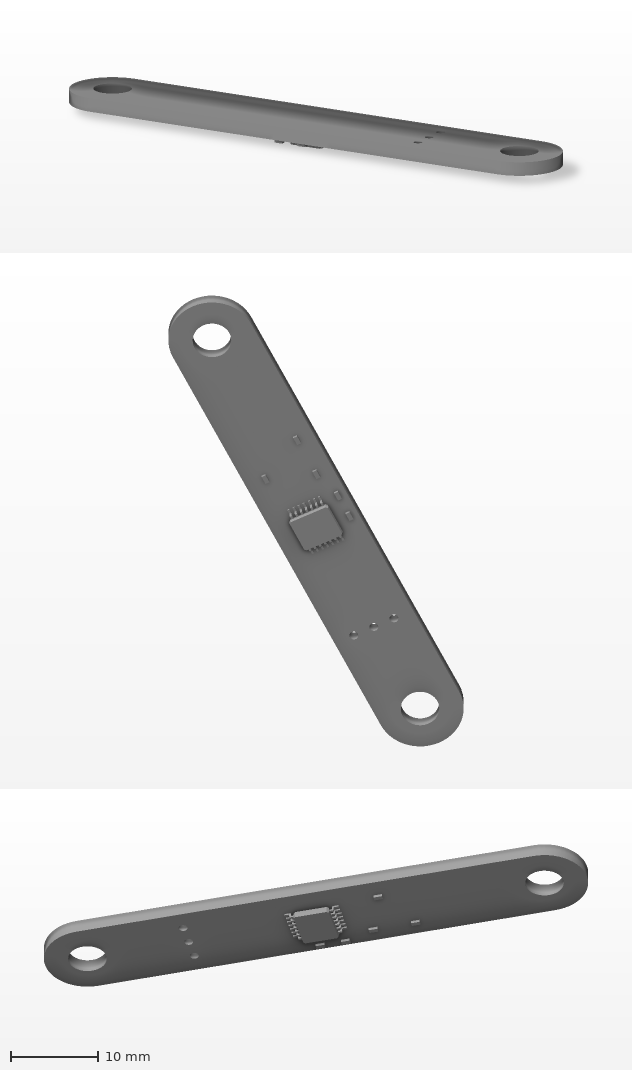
import cadquery as cq

BOARD_LENGTH = 64.0
BOARD_WIDTH = 10.0
BOARD_THICKNESS = 1.6
END_RADIUS = BOARD_WIDTH / 2
MOUNT_SPACING = BOARD_LENGTH - 2 * END_RADIUS
MOUNT_DIAMETER = 4.4
WIRE_HOLE_DIAMETER = 1.0
WIRE_HOLE_X = 15.05
WIRE_HOLE_PITCH = 2.55
WIRE_HOLE_COUNT = 3

CHIP_DEPTH = 1.0
CHIP_STANDOFF = 0.25
CHIP_WIDTH = 4.3
CHIP_LENGTH = 5.0
CHIP_CORNER_CHAMFER = 0.25
CHIP_DRAFT_ANGLE = 12.0
CHIP_HALF_HEIGHT = (CHIP_DEPTH - CHIP_STANDOFF) / 2
PARTING_Z = -CHIP_STANDOFF - CHIP_HALF_HEIGHT

LEADS_PER_SIDE = 7
LEAD_ROW_LENGTH = 3.9
LEAD_PITCH = LEAD_ROW_LENGTH / (LEADS_PER_SIDE - 1)
LEAD_WIDTH = 0.25
LEAD_THICKNESS = 0.2
LEAD_SPAN = 6.4
LEAD_FOOT_LENGTH = 0.8
LEAD_ROOT = 0.3
LEAD_BEND_RADIUS = 0.1

PASSIVE_LENGTH = 1.0
PASSIVE_WIDTH = 0.5
PASSIVE_HEIGHT = 0.3
RAISED_PASSIVE_GAP = 0.2
PASSIVE_PLACES = [
    (-11.0, -3.0, 0.0),
    (-8.0, 2.5, 0.0),
    (-6.0, -3.0, 0.0),
    (-2.5, -4.0, RAISED_PASSIVE_GAP),
    (0.5, -4.0, RAISED_PASSIVE_GAP),
]


def centred_steps(count, pitch):
    """Evenly spaced positions centred on zero."""
    return [(i - (count - 1) / 2) * pitch for i in range(count)]


def make_board():
    mounts = [(x, 0) for x in centred_steps(2, MOUNT_SPACING)]
    wire_holes = [(WIRE_HOLE_X, y) for y in centred_steps(WIRE_HOLE_COUNT, WIRE_HOLE_PITCH)]
    plate = cq.Workplane("XY").slot2D(BOARD_LENGTH, BOARD_WIDTH).extrude(BOARD_THICKNESS)
    mount_cutter = cq.Workplane("XY").pushPoints(mounts).circle(MOUNT_DIAMETER / 2)
    wire_cutter = cq.Workplane("XY").pushPoints(wire_holes).circle(WIRE_HOLE_DIAMETER / 2)
    return plate.cut(mount_cutter.extrude(BOARD_THICKNESS)).cut(wire_cutter.extrude(BOARD_THICKNESS))


def make_chip_body():
    """Moulded block that tapers up and down from its parting plane."""
    outline = cq.Sketch().rect(CHIP_WIDTH, CHIP_LENGTH).vertices().chamfer(CHIP_CORNER_CHAMFER)
    parting = cq.Workplane("XY").workplane(offset=PARTING_Z).placeSketch(outline)
    upper = parting.extrude(CHIP_HALF_HEIGHT, taper=CHIP_DRAFT_ANGLE)
    lower = parting.extrude(-CHIP_HALF_HEIGHT, taper=CHIP_DRAFT_ANGLE)
    return upper.union(lower)


def make_lead(y):
    """One lead on the +X side: a shoulder just above the parting plane, a riser and a foot."""
    tip_x = LEAD_SPAN / 2
    riser_x = tip_x - LEAD_FOOT_LENGTH
    shoulder_bottom = PARTING_Z
    shoulder_top = shoulder_bottom + LEAD_THICKNESS
    inner_x = CHIP_WIDTH / 2 - LEAD_ROOT
    outer_x = riser_x + LEAD_THICKNESS
    profile = (
        cq.Workplane("XZ", origin=(0, y + LEAD_WIDTH / 2, 0))
        .moveTo(inner_x, shoulder_top)
        .lineTo(riser_x, shoulder_top)
        .lineTo(riser_x, 0)
        .lineTo(tip_x, 0)
        .lineTo(tip_x, -LEAD_THICKNESS)
        .lineTo(outer_x, -LEAD_THICKNESS)
        .lineTo(outer_x, shoulder_bottom)
        .lineTo(inner_x, shoulder_bottom)
        .close()
    )
    lead = profile.extrude(LEAD_WIDTH)
    bends = cq.selectors.BoxSelector(
        (riser_x - LEAD_BEND_RADIUS, y - LEAD_WIDTH, shoulder_bottom - LEAD_BEND_RADIUS),
        (outer_x + LEAD_BEND_RADIUS, y + LEAD_WIDTH, LEAD_BEND_RADIUS),
    )
    return lead.edges("|Y").edges(bends).fillet(LEAD_BEND_RADIUS)


def make_chip():
    chip = make_chip_body()
    for y in centred_steps(LEADS_PER_SIDE, LEAD_PITCH):
        lead = make_lead(y)
        chip = chip.union(lead).union(lead.mirror("YZ"))
    return chip


def make_passive(x, y, gap):
    block = cq.Workplane("XY").box(PASSIVE_LENGTH, PASSIVE_WIDTH, PASSIVE_HEIGHT)
    return block.translate((x, y, -gap - PASSIVE_HEIGHT / 2))


board = make_board()
chip = make_chip()
passives = [make_passive(x, y, gap) for x, y, gap in PASSIVE_PLACES]

result = cq.Compound.makeCompound([board.val(), chip.val(), *[p.val() for p in passives]])